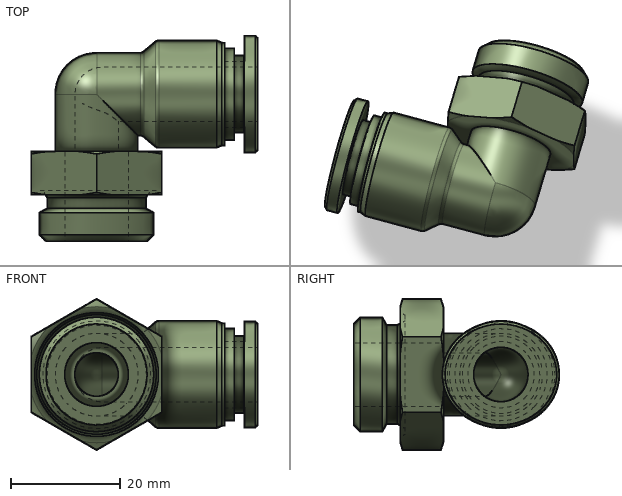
import cadquery as cq
import math

HEX_FLATS = 24.0
HEX_TOP_Y = -10.5
HEX_HEIGHT = 8.0
HEX_BOTTOM_Y = HEX_TOP_Y - HEX_HEIGHT
HEX_TOP_RIM_DIA = 24.63
HEX_BOTTOM_RIM_DIA = 24.95
HEX_CHAMFER_ANGLE = 18

RECESS_MOUTH_DIA = 22.7
RECESS_FLOOR_DIA = 21.92
RECESS_DEPTH = 0.85

NECK_ROOT_DIA = 19.7
NECK_DIA = 18.2
NECK_TAPER_Y = HEX_BOTTOM_Y - 0.5
THREAD_DIA = 20.95
THREAD_NECK_Y = -20.95
THREAD_SHOULDER_Y = -21.7
STUD_END_Y = -27.0
STUD_END_DIA = 18.55
THREAD_CHAMFER_Y = STUD_END_Y + (THREAD_DIA - STUD_END_DIA) / 2
STUD_BORE_DIA = 11.7

TUBE_DIA = 15.2
STUD_LEG_BORE_DIA = 8.0
SOCKET_BORE_DIA = 10
SOCKET_START_X = (SOCKET_BORE_DIA - STUD_LEG_BORE_DIA) / 2

SLEEVE_DIA = 19.7
SLEEVE_TIP_DIA = 18.9
SLEEVE_CONE_X = 8.35
SLEEVE_CONE_ANGLE = 40
SLEEVE_BLEND_RADIUS = 1.0
SLEEVE_TAPER_X = 22.0
SLEEVE_TIP_X = 23.0
SLEEVE_END_X = 23.55

SHOULDER_DIA = 16.9
SHOULDER_END_X = 25.3
NOSE_DIA = 14.2
NOSE_END_X = 27.05

OVERALL_LENGTH = 41.6
COLLAR_END_X = OVERALL_LENGTH - HEX_FLATS / 2
COLLAR_NECK_DIA = 12.15
COLLAR_GAP = 0.1
FLANGE_X = NOSE_END_X + COLLAR_GAP
FLANGE_LENGTH_Y = 21.45
FLANGE_WIDTH_Z = 19.45
FLANGE_CHAMFER = 0.5


def x_cylinder(diameter, start, end):
    return cq.Workplane("YZ", origin=(start, 0, 0)).circle(diameter / 2).extrude(end - start)


def y_cylinder(diameter, start, end):
    return cq.Workplane("ZX", origin=(0, start, 0)).circle(diameter / 2).extrude(end - start)


def turned_about_y(profile):
    """Revolve a closed list of (diameter, y) points about the Y axis."""
    points = [(diameter / 2, y) for diameter, y in profile]
    return cq.Workplane("XY").polyline(points).close().revolve(360, (0, 0, 0), (0, 1, 0))


def make_hex():
    corner_dia = HEX_FLATS / math.cos(math.radians(30))
    hexagon = (
        cq.Workplane("ZX", origin=(0, HEX_BOTTOM_Y, 0)).polygon(6, corner_dia).extrude(HEX_HEIGHT)
    )
    slope = math.tan(math.radians(HEX_CHAMFER_ANGLE))
    top_drop = (corner_dia - HEX_TOP_RIM_DIA) / 2 * slope
    bottom_rise = (corner_dia - HEX_BOTTOM_RIM_DIA) / 2 * slope
    envelope = turned_about_y([
        (0, HEX_BOTTOM_Y),
        (HEX_BOTTOM_RIM_DIA, HEX_BOTTOM_Y),
        (corner_dia, HEX_BOTTOM_Y + bottom_rise),
        (corner_dia, HEX_TOP_Y - top_drop),
        (HEX_TOP_RIM_DIA, HEX_TOP_Y),
        (0, HEX_TOP_Y),
    ])
    recess = turned_about_y([
        (0, HEX_BOTTOM_Y),
        (RECESS_MOUTH_DIA, HEX_BOTTOM_Y),
        (RECESS_FLOOR_DIA, HEX_BOTTOM_Y + RECESS_DEPTH),
        (0, HEX_BOTTOM_Y + RECESS_DEPTH),
    ])
    return hexagon.intersect(envelope).cut(recess)


def make_stud():
    thread = turned_about_y([
        (0, HEX_BOTTOM_Y + RECESS_DEPTH),
        (NECK_ROOT_DIA, HEX_BOTTOM_Y + RECESS_DEPTH),
        (NECK_DIA, NECK_TAPER_Y),
        (NECK_DIA, THREAD_NECK_Y),
        (THREAD_DIA, THREAD_SHOULDER_Y),
        (THREAD_DIA, THREAD_CHAMFER_Y),
        (STUD_END_DIA, STUD_END_Y),
        (0, STUD_END_Y),
    ])
    return make_hex().union(thread).cut(y_cylinder(STUD_BORE_DIA, STUD_END_Y, HEX_TOP_Y))


def make_sleeve():
    cone_run = (SLEEVE_DIA - TUBE_DIA) / 2 / math.tan(math.radians(SLEEVE_CONE_ANGLE))
    cone_end_x = SLEEVE_CONE_X + cone_run
    profile = [
        (0, 0),
        (0, TUBE_DIA / 2),
        (SLEEVE_CONE_X, TUBE_DIA / 2),
        (cone_end_x, SLEEVE_DIA / 2),
        (SLEEVE_TAPER_X, SLEEVE_DIA / 2),
        (SLEEVE_TIP_X, SLEEVE_TIP_DIA / 2),
        (SLEEVE_END_X, SLEEVE_TIP_DIA / 2),
        (SLEEVE_END_X, 0),
    ]
    sleeve = cq.Workplane("XY").polyline(profile).close().revolve(360, (0, 0, 0), (1, 0, 0))
    margin = 0.05
    cone_box = cq.selectors.BoxSelector(
        (SLEEVE_CONE_X - margin, -SLEEVE_DIA, -SLEEVE_DIA),
        (cone_end_x + margin, SLEEVE_DIA, SLEEVE_DIA),
        boundingbox=True,
    )
    return sleeve.edges(cone_box).edges("%CIRCLE").fillet(SLEEVE_BLEND_RADIUS)


def make_nose():
    shoulder = x_cylinder(SHOULDER_DIA, SLEEVE_END_X, SHOULDER_END_X)
    tip = x_cylinder(NOSE_DIA, SHOULDER_END_X, NOSE_END_X)
    return shoulder.union(tip)


def make_socket():
    """A bore along X whose inner end is a hemisphere, tangent to the wall of the stud leg bore."""
    radius = SOCKET_BORE_DIA / 2
    diagonal_offset = radius * math.sqrt(0.5)
    return (
        cq.Workplane("XY")
        .moveTo(SOCKET_START_X - radius, 0)
        .threePointArc((SOCKET_START_X - diagonal_offset, diagonal_offset), (SOCKET_START_X, radius))
        .lineTo(NOSE_END_X, radius)
        .lineTo(NOSE_END_X, 0)
        .close()
        .revolve(360, (0, 0, 0), (1, 0, 0))
    )


def make_bore():
    stud_leg = y_cylinder(STUD_LEG_BORE_DIA, HEX_TOP_Y, 0)
    collar_seat = x_cylinder(COLLAR_NECK_DIA, SLEEVE_END_X, NOSE_END_X)
    return make_socket().union(stud_leg).union(collar_seat)


def make_elbow():
    stud_leg = y_cylinder(TUBE_DIA, HEX_TOP_Y, 0)
    corner = cq.Workplane("XY").sphere(TUBE_DIA / 2)
    return make_sleeve().union(stud_leg).union(corner).union(make_nose()).cut(make_bore())


def make_collar():
    flange = (
        cq.Workplane("YZ", origin=(FLANGE_X, 0, 0))
        .ellipse(FLANGE_LENGTH_Y / 2, FLANGE_WIDTH_Z / 2)
        .extrude(COLLAR_END_X - FLANGE_X)
        .faces(">X")
        .edges()
        .chamfer(FLANGE_CHAMFER)
    )
    neck = x_cylinder(COLLAR_NECK_DIA, SLEEVE_END_X, FLANGE_X)
    tube_hole = x_cylinder(SOCKET_BORE_DIA, SLEEVE_END_X, COLLAR_END_X)
    return flange.union(neck).cut(tube_hole)


stud = make_stud()
elbow = make_elbow()
collar = make_collar()

result = cq.Compound.makeCompound([stud.val(), elbow.val(), collar.val()])